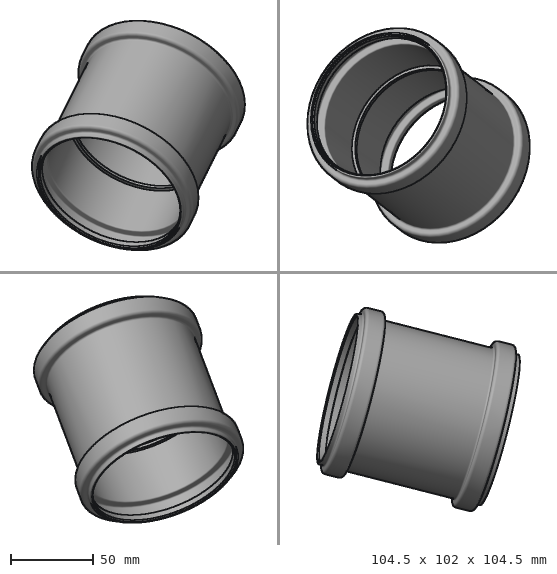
import cadquery as cq

outer_diameter = 104.5
length = 102.0
pipe_diameter = 94.7
pipe_bore = 90.5

bead_start = 3.3
bead_width = 12.7
bead_round = 2.1
bead_root_fillet = 1.1

groove_diameter = 100.3
groove_start = 5.0
groove_width = 9.3
groove_corner_fillet = 0.8
groove_lip_round = 0.8

mouth_outer_round = 0.4
mouth_chamfer = 0.8

stop_bore = 86.0
stop_width = 2.1

mouth_y = length / 2
bead_inner_y = mouth_y - bead_start - bead_width


def ring(diameter, bore, start, width):
    """Ring about the Y axis, reaching from start in the +Y direction."""
    profile = cq.Workplane("XZ", origin=(0, start, 0)).circle(diameter / 2)
    if bore:
        profile = profile.circle(bore / 2)
    return profile.extrude(-width)


def circles_at(radius, y):
    """Selector for circular edges of the given radius at one place along Y."""
    tol = 0.01
    return cq.selectors.BoxSelector(
        (-radius - tol, y - tol, -radius - tol),
        (radius + tol, y + tol, radius + tol),
        boundingbox=True,
    ) - cq.selectors.BoxSelector(
        (-radius + tol, y - tol, -radius + tol),
        (radius - tol, y + tol, radius - tol),
        boundingbox=True,
    )


def outer_half():
    """Solid outside form of the +Y half."""
    bead_outer_y = bead_inner_y + bead_width
    body = ring(pipe_diameter, 0, 0, bead_inner_y)
    body = body.union(ring(outer_diameter, 0, bead_inner_y, bead_width))
    body = body.union(ring(pipe_diameter, 0, bead_outer_y, bead_start))
    for y in (bead_inner_y, bead_outer_y):
        body = body.edges(circles_at(outer_diameter / 2, y)).fillet(bead_round)
        body = body.edges(circles_at(pipe_diameter / 2, y)).fillet(bead_root_fillet)
    return body.edges(circles_at(pipe_diameter / 2, mouth_y)).fillet(mouth_outer_round)


def inner_half():
    """Cavity of the +Y half: pipe bore, seal groove and mouth."""
    groove_outer_y = mouth_y - groove_start
    groove_inner_y = groove_outer_y - groove_width
    cavity = ring(pipe_bore, 0, 0, groove_inner_y)
    cavity = cavity.union(ring(groove_diameter, 0, groove_inner_y, groove_width))
    cavity = cavity.union(ring(pipe_bore, 0, groove_outer_y, groove_start))
    for y in (groove_inner_y, groove_outer_y):
        cavity = cavity.edges(circles_at(groove_diameter / 2, y)).fillet(groove_corner_fillet)
        cavity = cavity.edges(circles_at(pipe_bore / 2, y)).fillet(groove_lip_round)
    return cavity


half = outer_half().cut(inner_half())
half = half.edges(circles_at(pipe_bore / 2, mouth_y)).chamfer(mouth_chamfer)
sleeve = half.union(half.mirror("XZ"))

stop_rim_diameter = (pipe_diameter + pipe_bore) / 2
stop = ring(stop_rim_diameter, stop_bore, -stop_width / 2, stop_width)
result = sleeve.union(stop)